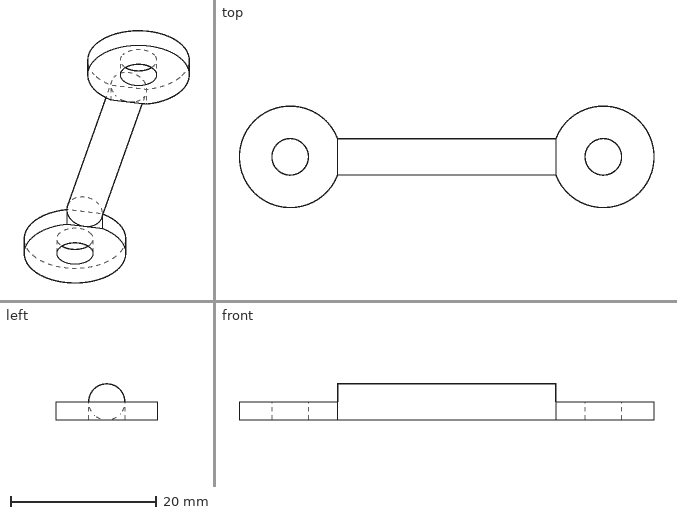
import cadquery as cq
import math

rod_diameter = 5.0
rod_length = 30.0
eye_diameter = 14.0
hole_diameter = 5.0

rod_radius = rod_diameter / 2
eye_thickness = rod_radius

eye_radius = eye_diameter / 2
rod_end_x = rod_length / 2
flat_to_center = math.sqrt(eye_radius**2 - rod_radius**2)
eye_center_x = rod_end_x + flat_to_center


def make_rod():
    """Round rod along X, resting on the base plane."""
    return (
        cq.Workplane("YZ", origin=(-rod_end_x, 0, rod_radius))
        .circle(rod_radius)
        .extrude(rod_length)
    )


def make_eye(side):
    """Flat disc with a through hole and a flat facing the rod; side is -1 or +1 along X."""
    outer_x = side * (eye_center_x + eye_radius)
    disc = (
        cq.Workplane("XY")
        .moveTo(side * rod_end_x, -rod_radius)
        .threePointArc((outer_x, 0), (side * rod_end_x, rod_radius))
        .close()
        .extrude(eye_thickness)
    )
    hole = (
        cq.Workplane("XY")
        .center(side * eye_center_x, 0)
        .circle(hole_diameter / 2)
        .extrude(eye_thickness)
    )
    return disc.cut(hole)


result = make_rod()
for side in (-1, 1):
    result = result.union(make_eye(side))